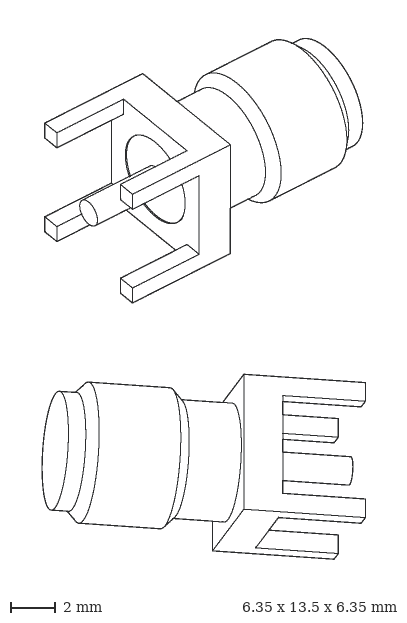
import cadquery as cq

total_length = 13.53
body_width = 6.35
leg_length = 3.8
leg_width = 0.88
plate_thickness = 1.79
neck_length = 2.4
neck_diameter = 5.35
tip_length = 0.8
barrel_chamfer = (body_width - neck_diameter) / 2
pin_diameter = 1.29
insulator_diameter = 4.33
insulator_step = 0.07

leg_end_y = -total_length / 2
plate_back_y = leg_end_y + leg_length
plate_front_y = plate_back_y + plate_thickness
barrel_start_y = plate_front_y + neck_length
tip_end_y = total_length / 2
barrel_end_y = tip_end_y - tip_length


def cylinder(diameter, start_y, end_y):
    """Solid cylinder on the Y axis."""
    plane = cq.Workplane("XZ", origin=(0, start_y, 0))
    return plane.circle(diameter / 2).extrude(start_y - end_y)


def make_plate():
    """Square mounting plate."""
    plane = cq.Workplane("XZ", origin=(0, plate_back_y, 0))
    return plane.rect(body_width, body_width).extrude(-plate_thickness)


def make_legs():
    """Four square legs flush with the corners of the plate."""
    spacing = body_width - leg_width
    plane = cq.Workplane("XZ", origin=(0, leg_end_y, 0))
    legs = plane.rect(spacing, spacing, forConstruction=True).vertices().rect(leg_width, leg_width)
    return legs.extrude(-(leg_length + plate_thickness))


def make_barrel():
    """Barrel with both ends bevelled down to the neck diameter."""
    return cylinder(body_width, barrel_start_y, barrel_end_y).faces("<Y or >Y").chamfer(barrel_chamfer)


plate = make_plate()
insulator_recess = cylinder(insulator_diameter, plate_back_y, plate_back_y + insulator_step)
neck_and_tip = cylinder(neck_diameter, plate_front_y, tip_end_y)
pin = cylinder(pin_diameter, leg_end_y, plate_front_y)

result = plate.cut(insulator_recess).union(make_legs())
result = result.union(neck_and_tip).union(make_barrel()).union(pin)